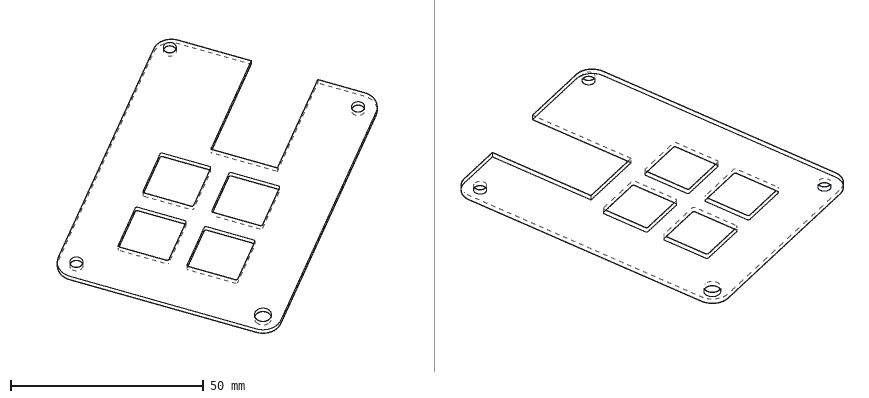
import cadquery as cq

width = 61.6
length = 83.25
thickness = 1.5
corner_radius = 5.0

slot_width = 18.4
slot_center_x = 3.7
slot_floor_y = 10.5

window_size = 14.0
window_pitch = 19.1
window_corner_radius = 0.5
window_group_x = -0.9
window_group_y = -11.6

small_hole_diameter = 3.4
large_hole_diameter = 4.4
hole_x = width / 2 - corner_radius
hole_y = length / 2 - corner_radius
offset_hole_x = -27.0
offset_hole_y = 38.55


def rounded_block(size_x, size_y, radius):
    """Plate-thick block centred on the origin with rounded vertical edges."""
    return cq.Workplane("XY").box(size_x, size_y, thickness).edges("|Z").fillet(radius)


def edge_slot():
    """Rectangular block from the slot floor to the +Y edge."""
    depth = length / 2 - slot_floor_y
    center_y = slot_floor_y + depth / 2
    return cq.Workplane("XY").box(slot_width, depth, thickness).translate((slot_center_x, center_y, 0))


def drill(body, diameter, points):
    """Cut through holes at the given points."""
    return body.cut(
        cq.Workplane("XY").pushPoints(points).circle(diameter / 2).extrude(thickness, both=True)
    )


plate = rounded_block(width, length, corner_radius).cut(edge_slot())

window = rounded_block(window_size, window_size, window_corner_radius)
for side_x in (-1, 1):
    for side_y in (-1, 1):
        window_x = window_group_x + side_x * window_pitch / 2
        window_y = window_group_y + side_y * window_pitch / 2
        plate = plate.cut(window.translate((window_x, window_y, 0)))

small_hole_points = [(-hole_x, -hole_y), (hole_x, hole_y), (offset_hole_x, offset_hole_y)]
plate = drill(plate, small_hole_diameter, small_hole_points)
plate = drill(plate, large_hole_diameter, [(hole_x, -hole_y)])

result = plate